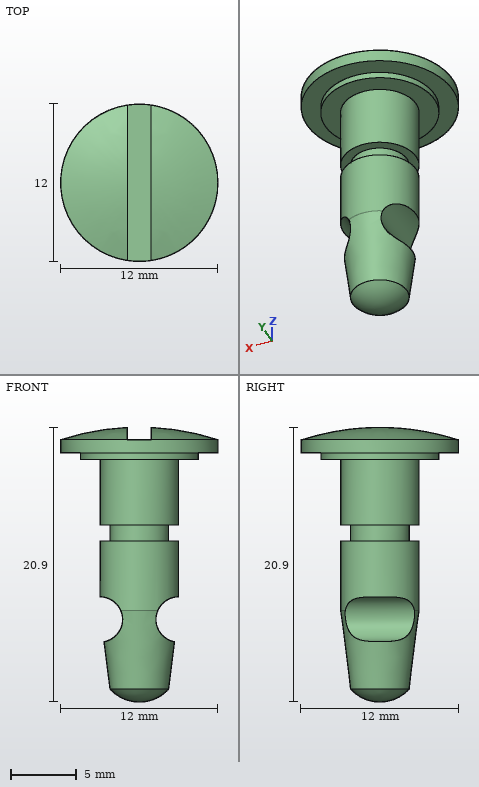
import cadquery as cq
import math

head_radius = 6.005
washer_radius = 4.5
shaft_radius = 3.0
neck_radius = 2.25
tip_radius = neck_radius

total_height = 20.95
tip_height = 1.0
taper_length = 6.0
plug_length = 5.3
neck_length = 1.2
shaft_length = 5.0
washer_thickness = 0.5
rim_thickness = 1.0

slot_width = 1.82
notch_radius = 1.72
notch_height = 6.3

taper_top = tip_height + taper_length
plug_top = taper_top + plug_length
neck_top = plug_top + neck_length
shaft_top = neck_top + shaft_length
rim_bottom = shaft_top + washer_thickness
rim_top = rim_bottom + rim_thickness

slot_half = slot_width / 2
edge_rise = total_height - rim_top
dome_center = rim_top + (edge_rise**2 + slot_half**2 - head_radius**2) / (2 * edge_rise)
dome_radius = math.hypot(head_radius, rim_top - dome_center)
dome_apex = dome_center + dome_radius


def arc_point(center_z, radius, x):
    """Point at distance x from the axis on the upper half of a sphere's outline."""
    return (x, center_z + math.sqrt(radius**2 - x**2))


def make_body():
    """Turned pin with a domed head, a neck and a tapered plug with a rounded tip."""
    tip_sphere_radius = (tip_radius**2 + tip_height**2) / (2 * tip_height)
    mid_x = tip_radius / 2
    tip_middle = (mid_x, tip_sphere_radius - math.sqrt(tip_sphere_radius**2 - mid_x**2))
    dome_middle = arc_point(dome_center, dome_radius, head_radius / 2)
    return (
        cq.Workplane("XZ")
        .moveTo(0, 0)
        .threePointArc(tip_middle, (tip_radius, tip_height))
        .lineTo(shaft_radius, taper_top)
        .lineTo(shaft_radius, plug_top)
        .lineTo(neck_radius, plug_top)
        .lineTo(neck_radius, neck_top)
        .lineTo(shaft_radius, neck_top)
        .lineTo(shaft_radius, shaft_top)
        .lineTo(washer_radius, shaft_top)
        .lineTo(washer_radius, rim_bottom)
        .lineTo(head_radius, rim_bottom)
        .lineTo(head_radius, rim_top)
        .threePointArc(dome_middle, (0, dome_apex))
        .close()
        .revolve(360, (0, 0, 0), (0, 1, 0))
    )


def make_slot():
    """Straight driver slot along Y, as deep as the dome."""
    slot_depth = dome_apex - rim_top
    return (
        cq.Workplane("XY", origin=(0, 0, rim_top))
        .rect(slot_width, 2 * head_radius)
        .extrude(slot_depth)
    )


def make_notches():
    """Round notches along Y, centred on the two X sides of the plug."""
    return (
        cq.Workplane("XZ", origin=(0, 0, notch_height))
        .pushPoints([(side * shaft_radius, 0) for side in (-1, 1)])
        .circle(notch_radius)
        .extrude(shaft_radius, both=True)
    )


result = make_body().cut(make_slot()).cut(make_notches())